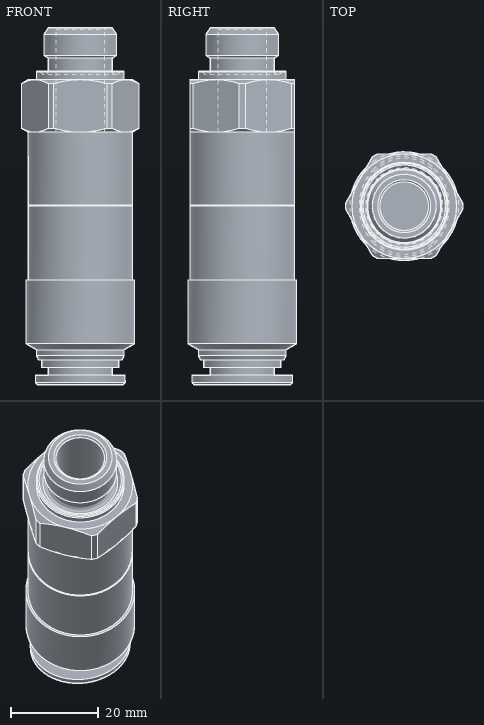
import cadquery as cq

TOTAL_HEIGHT = 81.95

FLANGE_WIDTH = 20.65
FLANGE_DEPTH = 23.1
FLANGE_HEIGHT = 2.2
FLANGE_CHAMFER = 0.5
NECK_RADIUS = 7.4
SLEEVE_TOP = 3.9

COLLET_RADIUS = 8.85
COLLET_TOP = 5.65
RIM_RADIUS = 10.1
RIM_CHAMFER_WIDTH = 0.5
RIM_CHAMFER_TOP = 6.7
RIM_TOP = 8.0
SOCKET_RADIUS = 25.0 / 2
SOCKET_CONE_TOP = 9.4
SOCKET_TOP = 24.1

BARREL_RADIUS = 24.0 / 2
GROOVE_CENTER = 41.1
GROOVE_WIDTH = 0.25
GROOVE_DEPTH = 0.1

HEX_BOTTOM = 57.9
HEX_TOP = 70.0
HEX_ACROSS_FLATS = 2 * BARREL_RADIUS
HEX_TURN = 30
HEX_CORNER_RADIUS = 27.0 / 2
HEX_BEVEL_HEIGHT = 0.9

COLLAR_RADIUS = RIM_RADIUS
COLLAR_TOP = 72.0
COLLAR_CHAMFER = 0.25
DISH_RADIUS = 9.4
DISH_FLOOR_RADIUS = 8.6
DISH_DEPTH = 0.8
DISH_FILLET = 0.6
CORNER_TOLERANCE = 0.1

THREAD_RADIUS = 8.35
RELIEF_RADIUS = NECK_RADIUS
RELIEF_TOP = 74.9
THREAD_BOTTOM = 75.55
THREAD_CHAMFER_BOTTOM = 80.4
THREAD_TIP_RADIUS = 7.3

BORE_RADIUS = 5.6
BORE_CHAMFER = 0.5
BORE_DEPTH = TOTAL_HEIGHT - HEX_BOTTOM


def revolve_profile(points):
    """Turn a closed (radius, height) outline around the Z axis."""
    return cq.Workplane("XZ").polyline(points).close().revolve(360, (0, 0), (0, 1))


def make_release_sleeve():
    flange = (
        cq.Workplane("XY")
        .ellipse(FLANGE_WIDTH / 2, FLANGE_DEPTH / 2)
        .extrude(FLANGE_HEIGHT)
        .faces("<Z")
        .chamfer(FLANGE_CHAMFER)
    )
    neck = cq.Workplane("XY").circle(NECK_RADIUS).extrude(SLEEVE_TOP)
    return flange.union(neck)


def make_turned_body():
    groove_bottom = GROOVE_CENTER - GROOVE_WIDTH / 2
    groove_top = GROOVE_CENTER + GROOVE_WIDTH / 2
    groove_radius = BARREL_RADIUS - GROOVE_DEPTH
    dish_floor = COLLAR_TOP - DISH_DEPTH
    blank = revolve_profile([
        (0, SLEEVE_TOP),
        (COLLET_RADIUS, SLEEVE_TOP),
        (COLLET_RADIUS, COLLET_TOP),
        (RIM_RADIUS - RIM_CHAMFER_WIDTH, COLLET_TOP),
        (RIM_RADIUS, RIM_CHAMFER_TOP),
        (RIM_RADIUS, RIM_TOP),
        (SOCKET_RADIUS, SOCKET_CONE_TOP),
        (SOCKET_RADIUS, SOCKET_TOP),
        (BARREL_RADIUS, SOCKET_TOP),
        (BARREL_RADIUS, groove_bottom),
        (groove_radius, groove_bottom),
        (groove_radius, groove_top),
        (BARREL_RADIUS, groove_top),
        (BARREL_RADIUS, HEX_BOTTOM),
        (COLLAR_RADIUS, HEX_BOTTOM),
        (COLLAR_RADIUS, COLLAR_TOP - COLLAR_CHAMFER),
        (COLLAR_RADIUS - COLLAR_CHAMFER, COLLAR_TOP),
        (DISH_RADIUS, COLLAR_TOP),
        (DISH_FLOOR_RADIUS, dish_floor),
        (RELIEF_RADIUS, dish_floor),
        (RELIEF_RADIUS, RELIEF_TOP),
        (THREAD_RADIUS, THREAD_BOTTOM),
        (THREAD_RADIUS, THREAD_CHAMFER_BOTTOM),
        (THREAD_TIP_RADIUS, TOTAL_HEIGHT),
        (0, TOTAL_HEIGHT),
    ])
    dish_corner = cq.selectors.RadiusNthSelector(0)
    corner_zone = cq.selectors.BoxSelector(
        (-DISH_RADIUS, -DISH_RADIUS, dish_floor - CORNER_TOLERANCE),
        (DISH_RADIUS, DISH_RADIUS, dish_floor + CORNER_TOLERANCE),
        boundingbox=True,
    )
    return blank.edges(corner_zone).edges(dish_corner).fillet(DISH_FILLET)


def make_hexagon():
    """Hexagon with corners on +X and -X, turned round and bevelled at both ends."""
    prism = (
        cq.Workplane("XY")
        .workplane(offset=HEX_BOTTOM)
        .polygon(6, HEX_ACROSS_FLATS, circumscribed=True)
        .extrude(HEX_TOP - HEX_BOTTOM)
        .rotate((0, 0, 0), (0, 0, 1), HEX_TURN)
    )
    envelope = revolve_profile([
        (0, HEX_BOTTOM),
        (BARREL_RADIUS, HEX_BOTTOM),
        (HEX_CORNER_RADIUS, HEX_BOTTOM + HEX_BEVEL_HEIGHT),
        (HEX_CORNER_RADIUS, HEX_TOP - HEX_BEVEL_HEIGHT),
        (BARREL_RADIUS, HEX_TOP),
        (0, HEX_TOP),
    ])
    return prism.intersect(envelope)


def make_bore():
    """Blind flat-bottomed bore with a chamfered mouth."""
    return revolve_profile([
        (0, TOTAL_HEIGHT - BORE_DEPTH),
        (BORE_RADIUS, TOTAL_HEIGHT - BORE_DEPTH),
        (BORE_RADIUS, TOTAL_HEIGHT - BORE_CHAMFER),
        (BORE_RADIUS + BORE_CHAMFER, TOTAL_HEIGHT),
        (0, TOTAL_HEIGHT),
    ])


def make_housing():
    return make_turned_body().union(make_hexagon()).cut(make_bore())


release_sleeve = make_release_sleeve()
housing = make_housing()

result = cq.Compound.makeCompound([housing.val(), release_sleeve.val()])